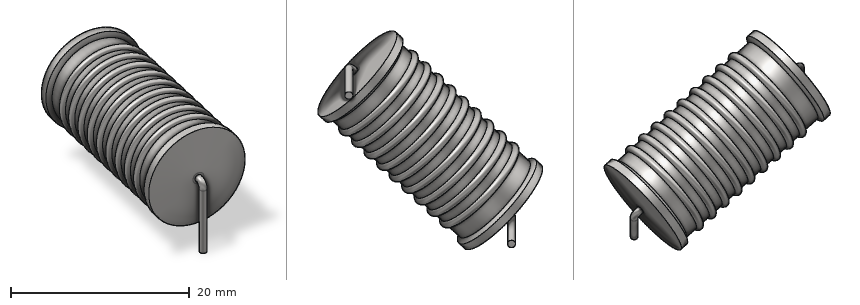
import cadquery as cq

body_radius = 11.52 / 2
flange_radius = 12.7 / 2
flange_outer_x = 11.4
flange_inner_x = 10.41
chamfer_end_x = 10.05
end_cone_x = 11.7
end_flat_radius = 0.7

wire_radius = 0.9 / 2
turn_count = 9
first_turn_x = -7.65
last_turn_x = 8.07
turn_pitch = (last_turn_x - first_turn_x) / (turn_count - 1)

overall_length = 26.3
overall_height = 15.8
lead_x = overall_length / 2 - wire_radius
lead_bottom_z = flange_radius - overall_height
bend_radius = 0.87
lead_root_x = flange_inner_x


def make_bobbin():
    """Body with chamfered flanges and shallow conical end faces."""
    right_profile = [
        (chamfer_end_x, body_radius),
        (flange_inner_x, flange_radius),
        (flange_outer_x, flange_radius),
        (end_cone_x, end_flat_radius),
        (end_cone_x, 0),
    ]
    left_profile = [(-x, radius) for x, radius in reversed(right_profile)]
    profile = cq.Workplane("XY").polyline(left_profile + right_profile).close()
    return profile.revolve(360, (0, 0, 0), (1, 0, 0))


def make_turn(x):
    """One ring of wire centred on the body surface."""
    section = cq.Workplane("XY").center(x, body_radius).circle(wire_radius)
    return section.revolve(360, (0, -body_radius, 0), (1, -body_radius, 0))


def make_left_lead():
    """Wire rising along Z, then bending inward to the bobbin axis."""
    bend_center_x = -lead_x + bend_radius
    path = (
        cq.Workplane("XZ")
        .moveTo(-lead_x, lead_bottom_z)
        .lineTo(-lead_x, -bend_radius)
        .tangentArcPoint((bend_center_x, 0), relative=False)
        .lineTo(-lead_root_x, 0)
    )
    section = cq.Workplane("XY", origin=(-lead_x, 0, lead_bottom_z)).circle(wire_radius)
    return section.sweep(path)


result = make_bobbin()
for turn in range(turn_count):
    result = result.union(make_turn(first_turn_x + turn * turn_pitch))

left_lead = make_left_lead()
result = result.union(left_lead).union(left_lead.mirror("YZ"))